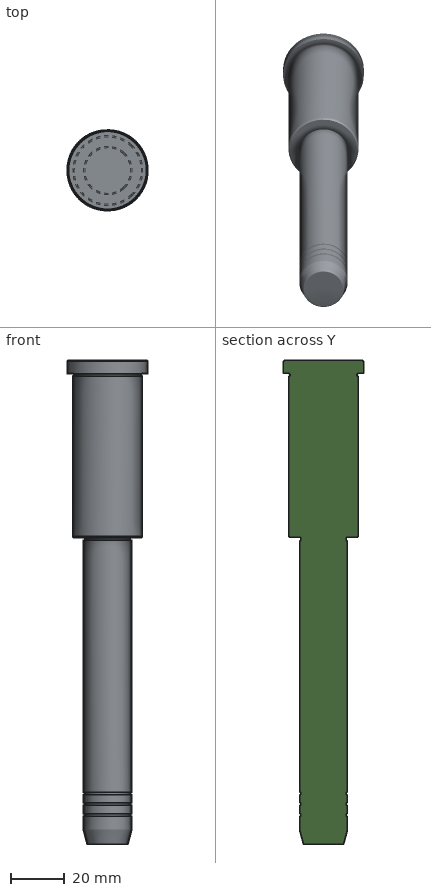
import cadquery as cq
import math

total_length = 180.0
head_diameter = 30.0
head_height = 5.0
head_chamfer = 0.5

body_diameter = 26.0
shoulder_depth = 66.0
body_chamfer = 0.5

shank_diameter = 18.0
taper_height = 5.5
taper_angle = 15.0
tip_fillet = 0.5

relief_width = 1.0
relief_depth = 0.5

groove_radius = 0.5
ring_count = 3
ring_pitch = 4.0
lowest_ring_level = 11.0

head_bottom = total_length - head_height
shoulder_level = total_length - shoulder_depth
tip_diameter = shank_diameter - 2 * taper_height * math.tan(math.radians(taper_angle))


def revolve_about_axis(profile):
    """Revolve a profile in the XZ plane, with the seam on the -X side."""
    solid = profile.revolve(360, (0, 0), (0, 1))
    return solid.rotate((0, 0, 0), (0, 0, 1), 180)


def make_pin():
    """Stepped pin with its tapered tip, shoulder relief and shoulder chamfer."""
    profile = (
        cq.Workplane("XZ")
        .lineTo(tip_diameter / 2, 0)
        .lineTo(shank_diameter / 2, taper_height)
        .lineTo(shank_diameter / 2, shoulder_level - relief_width)
        .lineTo(shank_diameter / 2 - relief_depth, shoulder_level - relief_width)
        .lineTo(shank_diameter / 2 - relief_depth, shoulder_level)
        .lineTo(body_diameter / 2 - body_chamfer, shoulder_level)
        .lineTo(body_diameter / 2, shoulder_level + body_chamfer)
        .lineTo(body_diameter / 2, head_bottom)
        .lineTo(head_diameter / 2, head_bottom)
        .lineTo(head_diameter / 2, total_length)
        .lineTo(0, total_length)
        .close()
    )
    return revolve_about_axis(profile)


def finish_edges(pin):
    """Chamfer the rim of the head and round the tip."""
    pin = pin.faces(">Z").edges().chamfer(head_chamfer)
    return pin.faces("<Z").edges().fillet(tip_fillet)


def half_round_groove(diameter, level):
    """Round ring that cuts a half-round groove, centred at the given level, into a cylinder."""
    profile = cq.Workplane("XZ").moveTo(diameter / 2, level).circle(groove_radius)
    return revolve_about_axis(profile)


def cut_grooves(pin):
    """Cut the groove under the head and the rings near the tip."""
    pin = pin.cut(half_round_groove(body_diameter, head_bottom - groove_radius))
    for index in range(ring_count):
        level = lowest_ring_level + index * ring_pitch
        pin = pin.cut(half_round_groove(shank_diameter, level))
    return pin


result = cut_grooves(finish_edges(make_pin()))